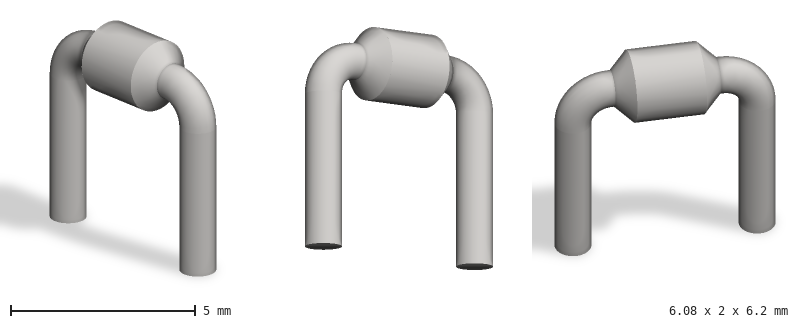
import cadquery as cq

total_height = 6.2
total_width = 6.08
barrel_diameter = 2.0
barrel_length = 1.92

barrel_radius = barrel_diameter / 2
wire_radius = barrel_radius / 2
bend_radius = barrel_radius
cone_length = barrel_radius - wire_radius
leg_x = total_width / 2 - wire_radius
barrel_axis_z = total_height - barrel_radius
leg_length = barrel_axis_z - bend_radius
barrel_end_x = barrel_length / 2
stub_length = leg_x - bend_radius - barrel_end_x

SIDES = (-1, 1)


def make_barrel():
    """Plain cylinder lying along X."""
    return (
        cq.Workplane("YZ", origin=(-barrel_end_x, 0, barrel_axis_z))
        .circle(barrel_radius)
        .extrude(barrel_length)
    )


def make_cone(side):
    """Tapered collar around the wire, seated on one end of the barrel."""
    return (
        cq.Workplane("XZ", origin=(side * barrel_end_x, 0, barrel_axis_z))
        .moveTo(0, wire_radius)
        .lineTo(0, barrel_radius)
        .lineTo(side * cone_length, wire_radius)
        .close()
        .revolve(360, (0, 0, 0), (1, 0, 0))
    )


def make_wire(side):
    """Round wire: vertical leg, quarter-turn bend and straight stub ending on the barrel."""
    leg = cq.Workplane("XY", origin=(side * leg_x, 0, 0)).circle(wire_radius).extrude(leg_length)
    bend = (
        cq.Workplane("XY", origin=(side * leg_x, 0, leg_length))
        .circle(wire_radius)
        .revolve(90, (-side * bend_radius, 0, 0), (-side * bend_radius, -side, 0))
    )
    stub = (
        cq.Workplane("YZ", origin=(side * barrel_end_x, 0, barrel_axis_z))
        .circle(wire_radius)
        .extrude(side * stub_length)
    )
    return leg.union(bend).union(stub)


barrel = make_barrel()
cones = [make_cone(side) for side in SIDES]
wires = [make_wire(side) for side in SIDES]

result = cq.Compound.makeCompound(
    [barrel.val()] + [cone.val() for cone in cones] + [wire.val() for wire in wires]
)